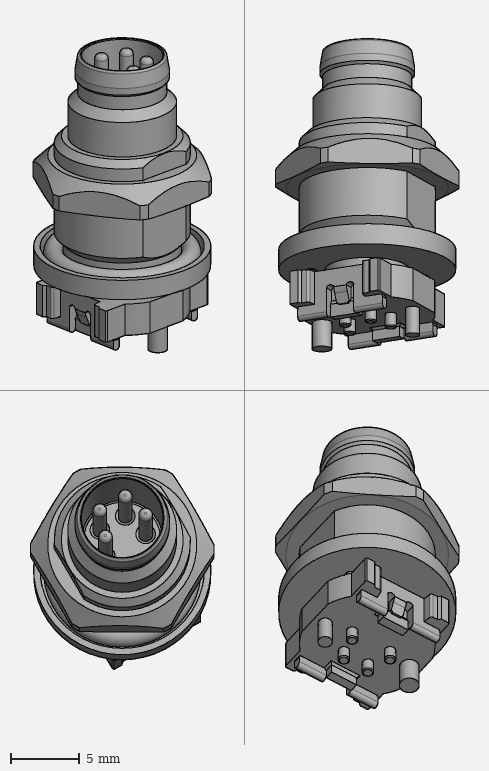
import cadquery as cq
import math


total_height = 22.3
carrier_bottom_z = 2.03
carrier_top_z = 4.53
flange_bottom_z = 5.53
flange_top_z = 7.07
thread_bottom_z = 7.54
nut_bottom_z = 11.85
nut_top_z = 14.3
thread_top_z = 15.83
shoulder_bottom_z = 18.58
socket_floor_z = thread_top_z

flange_radius = 13.0 / 2
thread_radius = 5.0
thread_flat_distance = 4.48
thread_top_radius = 4.45
thread_top_chamfer = thread_radius - thread_top_radius
undercut_radius = 4.35
thread_bottom_chamfer = thread_radius - undercut_radius
barrel_radius = 4.0
neck_radius = 3.28
shoulder_top_z = shoulder_bottom_z + barrel_radius - neck_radius
lip_radius = 3.48
lip_bottom_z = 20.34
lip_undercut = lip_radius - neck_radius
lip_height = 0.54
rim_radius = 3.3
rim_round = 0.15
bore_radius = 2.99
bore_chamfer = 0.07
seal_groove_radius = 6.02

ring_wire_radius = 0.71
ring_center_radius = undercut_radius + ring_wire_radius
ring_top_z = 7.27
ring_center_z = ring_top_z - ring_wire_radius
seal_groove_floor_z = ring_center_z - ring_wire_radius

nut_across_flats = 12.0
nut_corner_radius = 13.5 / 2
nut_top_radius = 5.46
nut_top_chamfer_height = 1.23
nut_bottom_radius = 5.95
nut_bottom_chamfer_height = 0.1

insert_neck_radius = 3.1
plug_chamfer = 0.18
carrier_radius = 4.97
carrier_half_width = 4.68
wing_half_width = 3.72
wing_reach = 5.22
wing_corner_width = 0.07
wing_corner_depth = 0.15
wing_step = 0.2
wing_step_x = 2.99
wing_inner_x = 2.19
wing_root_x = 2.1
face_y = 4.28

rail_half_length = 3.52
rail_thickness = 0.62
rail_bottom_z = 1.0
rail_end_chamfer = 0.07
rail_end_chamfer_height = 0.2
pad_bottom_z = 1.07
pad_inner_y = 2.97
pad_root_flare = 0.18
window_half_width = 1.12
window_arch_z = 3.35
window_arch_rise = 0.2
window_back_y = face_y - rail_thickness
ledge_bottom_z = 2.05
ledge_depth = 0.13
ledge_height = 0.3
latch_half_width = 1.05 / 2
latch_top_z = 3.3
latch_bend_z = 2.7
latch_bend_depth = 0.18
latch_tip_z = 1.92
latch_tip_overhang = 0.13
latch_tip_chamfer = 0.15

peg_spacing = 7.52
peg_x = peg_spacing / 2
thin_peg_radius = 1.05 / 2
thick_peg_radius = 1.45 / 2
stud_places = [(-3.28, -2.59), (3.28, 2.59)]
stud_radius = 0.45
stud_top_z = 5.3
stud_chamfer = 0.13
contact_places = [(-1.07, 1.45), (1.07, 1.45), (-1.7, -0.5), (1.7, -0.5)]
contact_radius = 1.0 / 2
contact_top_z = 22.0
contact_tip_flat_radius = 0.1
countersink_radius = 0.71
countersink_depth = countersink_radius - contact_radius
tail_radius = 0.42
tail_bottom_z = 0.98
tail_chamfer = 0.1


def cylinder(radius, bottom, top, x=0.0, y=0.0):
    """Upright cylinder between two heights."""
    return cq.Workplane("XY").workplane(offset=bottom).center(x, y).circle(radius).extrude(top - bottom)


def box(x_min, x_max, y_min, y_max, z_min, z_max):
    """Axis-aligned box between its limits."""
    size = (x_max - x_min, y_max - y_min, z_max - z_min)
    return cq.Workplane("XY").box(*size, centered=False).translate((x_min, y_min, z_min))


def revolve_about_z(profile):
    """Turn a closed (radius, height) outline on the XZ plane around the Z axis."""
    return profile.close().revolve(360, (0, 0), (0, 1))


def make_housing():
    """Turned shell with a grooved flange, a flatted thread section and a snap-in lip."""
    lip_straight_z = lip_bottom_z + lip_undercut
    rim_flat_radius = rim_radius - rim_round
    round_middle = rim_round * (1 - math.sqrt(0.5))
    shell = revolve_about_z(
        cq.Workplane("XZ")
        .moveTo(bore_radius, flange_bottom_z)
        .lineTo(flange_radius, flange_bottom_z)
        .lineTo(flange_radius, flange_top_z)
        .lineTo(seal_groove_radius, flange_top_z)
        .lineTo(seal_groove_radius, seal_groove_floor_z)
        .lineTo(undercut_radius, seal_groove_floor_z)
        .lineTo(undercut_radius, thread_bottom_z)
        .lineTo(thread_radius, thread_bottom_z + thread_bottom_chamfer)
        .lineTo(thread_radius, thread_top_z - thread_top_chamfer)
        .lineTo(thread_top_radius, thread_top_z)
        .lineTo(barrel_radius, thread_top_z)
        .lineTo(barrel_radius, shoulder_bottom_z)
        .lineTo(neck_radius, shoulder_top_z)
        .lineTo(neck_radius, lip_bottom_z)
        .lineTo(lip_radius, lip_straight_z)
        .lineTo(lip_radius, lip_straight_z + lip_height)
        .lineTo(rim_radius, total_height - rim_round)
        .threePointArc((rim_radius - round_middle, total_height - round_middle),
                       (rim_flat_radius, total_height))
        .lineTo(bore_radius + bore_chamfer, total_height)
        .lineTo(bore_radius, total_height - bore_chamfer)
    )
    flat_cutter = box(thread_flat_distance, thread_radius, -thread_radius, thread_radius,
                      thread_bottom_z, thread_top_z)
    return shell.cut(flat_cutter).cut(flat_cutter.mirror("YZ"))


def make_nut():
    """Hexagon with a pair of flats facing X, turned conical at both ends, with a bore that fits the
    flatted thread."""
    hexagon = (
        cq.Workplane("XY").workplane(offset=nut_bottom_z)
        .polygon(6, nut_across_flats / math.cos(math.pi / 6))
        .extrude(nut_top_z - nut_bottom_z)
        .rotate((0, 0, 0), (0, 0, 1), 30)
    )
    turned_blank = revolve_about_z(
        cq.Workplane("XZ")
        .moveTo(0, nut_bottom_z)
        .lineTo(nut_bottom_radius, nut_bottom_z)
        .lineTo(nut_corner_radius, nut_bottom_z + nut_bottom_chamfer_height)
        .lineTo(nut_corner_radius, nut_top_z - nut_top_chamfer_height)
        .lineTo(nut_top_radius, nut_top_z)
        .lineTo(0, nut_top_z)
    )
    flatted_bore = cylinder(thread_radius, nut_bottom_z, nut_top_z).intersect(
        box(-thread_flat_distance, thread_flat_distance, -thread_radius, thread_radius,
            nut_bottom_z, nut_top_z)
    )
    return hexagon.intersect(turned_blank).cut(flatted_bore)


def make_sealing_ring():
    """Round-wire ring that sits in the flange groove, against the housing undercut."""
    return (
        cq.Workplane("XZ").center(ring_center_radius, ring_center_z)
        .circle(ring_wire_radius)
        .revolve(360, (-ring_center_radius, 0), (-ring_center_radius, 1))
    )


def make_wing():
    """Stepped corner block of the carrier at -X, -Y."""
    outer_y = -wing_reach
    middle_y = outer_y + wing_step
    inner_y = middle_y + wing_step
    middle_x = wing_step_x - wing_step
    step_middle = wing_step * (1 - math.sqrt(0.5))
    height = carrier_top_z - carrier_bottom_z
    return (
        cq.Workplane("XY").workplane(offset=carrier_bottom_z)
        .moveTo(-wing_half_width, 0)
        .lineTo(-wing_half_width, outer_y + wing_corner_depth)
        .lineTo(-wing_half_width + wing_corner_width, outer_y)
        .lineTo(-wing_step_x, outer_y)
        .lineTo(-middle_x, middle_y)
        .lineTo(-wing_inner_x - wing_step, middle_y)
        .threePointArc((-wing_inner_x - step_middle, middle_y + step_middle), (-wing_inner_x, inner_y))
        .lineTo(-wing_root_x, -face_y)
        .lineTo(0, -face_y)
        .lineTo(0, 0)
        .close()
        .extrude(height)
    )


def make_carrier_block():
    """Disc with flats at both X ends and a wing at each of its four corners."""
    disc = cylinder(carrier_radius, carrier_bottom_z, carrier_top_z).intersect(
        box(-carrier_half_width, carrier_half_width, -face_y, face_y, carrier_bottom_z, carrier_top_z)
    )
    wing = make_wing()
    front_pair = wing.union(wing.mirror("YZ"))
    return disc.union(front_pair).union(front_pair.mirror("XZ"))


def make_rail():
    """Foot rail at -Y with a full-round lower edge, chamfered ends and a pad with a flared root behind it."""
    round_radius = rail_thickness / 2
    profile = (
        cq.Workplane("YZ").workplane(offset=-rail_half_length)
        .moveTo(-face_y, carrier_bottom_z)
        .lineTo(-face_y, rail_bottom_z + round_radius)
        .threePointArc((-face_y + round_radius, rail_bottom_z),
                       (-face_y + rail_thickness, rail_bottom_z + round_radius))
        .lineTo(-face_y + rail_thickness, carrier_bottom_z)
        .close()
        .extrude(2 * rail_half_length)
    )
    end_shape = (
        cq.Workplane("XZ")
        .moveTo(-rail_half_length, 0)
        .lineTo(-rail_half_length, carrier_bottom_z - rail_end_chamfer_height)
        .lineTo(-rail_half_length + rail_end_chamfer, carrier_bottom_z)
        .lineTo(rail_half_length - rail_end_chamfer, carrier_bottom_z)
        .lineTo(rail_half_length, carrier_bottom_z - rail_end_chamfer_height)
        .lineTo(rail_half_length, 0)
        .close()
        .extrude(wing_reach)
    )
    pad = box(-window_half_width, window_half_width, -window_back_y, -pad_inner_y,
              pad_bottom_z, carrier_bottom_z)
    pad_flare = (
        cq.Workplane("XY").workplane(offset=carrier_bottom_z)
        .center(0, -(window_back_y + pad_inner_y) / 2)
        .rect(2 * (window_half_width + pad_root_flare),
              window_back_y - pad_inner_y + 2 * pad_root_flare)
        .extrude(-pad_root_flare, taper=45)
    )
    pad = pad.union(pad_flare)
    return profile.intersect(end_shape).union(pad)


def make_window_cutter():
    """Latch window at -Y: a straight opening with two arched slots and a deeper upper back wall."""
    slot_width = window_half_width - latch_half_width
    slot_center = latch_half_width + slot_width / 2
    arch_start_z = window_arch_z - window_arch_rise
    outline = (
        cq.Workplane("XZ", origin=(0, -window_back_y + ledge_depth, 0))
        .moveTo(-window_half_width, 0)
        .lineTo(-window_half_width, arch_start_z)
        .threePointArc((-slot_center, window_arch_z), (-latch_half_width, arch_start_z))
        .lineTo(latch_half_width, arch_start_z)
        .threePointArc((slot_center, window_arch_z), (window_half_width, arch_start_z))
        .lineTo(window_half_width, 0)
        .close()
        .extrude(rail_thickness + ledge_depth)
    )
    ledge = (
        cq.Workplane("YZ").workplane(offset=-window_half_width)
        .moveTo(-window_back_y, 0)
        .lineTo(-window_back_y, ledge_bottom_z)
        .lineTo(-window_back_y + ledge_depth, ledge_bottom_z + ledge_height)
        .lineTo(-window_back_y + ledge_depth, 0)
        .close()
        .extrude(2 * window_half_width)
    )
    return outline.cut(ledge)


def make_latch():
    """Wedge-shaped latch tongue at -Y, bent inward and tapering toward the window's back wall."""
    bend_y = -face_y + latch_bend_depth
    root_y = -window_back_y + ledge_depth
    tongue = (
        cq.Workplane("YZ").workplane(offset=-latch_half_width)
        .moveTo(root_y, latch_top_z)
        .lineTo(-face_y, latch_top_z)
        .threePointArc((-face_y + latch_bend_depth / 4, (latch_top_z + latch_bend_z) / 2),
                       (bend_y, latch_bend_z))
        .lineTo(-window_back_y - latch_tip_overhang, latch_tip_z)
        .lineTo(root_y, latch_tip_z)
        .close()
        .extrude(2 * latch_half_width)
    )
    tip_shape = (
        cq.Workplane("XZ")
        .rect(2 * latch_half_width, 2 * (latch_top_z - latch_tip_z))
        .extrude(wing_reach)
        .edges("|Y and <Z")
        .chamfer(latch_tip_chamfer)
        .translate((0, 0, latch_top_z))
    )
    return tongue.intersect(tip_shape)


def make_contact(x, y):
    """Contact pin with a domed tip above and a chamfered solder tail below."""
    dome_base_z = contact_top_z - contact_radius
    pin = cylinder(contact_radius, carrier_bottom_z, contact_top_z, x, y)
    pin = pin.faces(">Z").edges().fillet(contact_radius - contact_tip_flat_radius)
    tail = cylinder(tail_radius, tail_bottom_z, dome_base_z, x, y).faces("<Z").chamfer(tail_chamfer)
    return pin.union(tail)


def make_countersink(x, y):
    """Conical recess around a contact in the socket floor."""
    return (
        cq.Workplane("XY").workplane(offset=socket_floor_z).center(x, y)
        .circle(countersink_radius)
        .extrude(-countersink_depth, taper=45)
    )


def make_insert():
    """Contact carrier: plug in the housing bore, carrier block, rails, latches, pegs and contacts."""
    insert = make_carrier_block()
    insert = insert.union(cylinder(insert_neck_radius, carrier_top_z, flange_bottom_z))
    plug = cylinder(bore_radius, carrier_top_z, socket_floor_z).faces(">Z").chamfer(plug_chamfer)
    insert = insert.union(plug)

    rail = make_rail()
    window = make_window_cutter()
    latch = make_latch()
    insert = insert.union(rail).union(rail.mirror("XZ"))
    insert = insert.cut(window).cut(window.mirror("XZ"))
    insert = insert.union(latch).union(latch.mirror("XZ"))

    insert = insert.union(cylinder(thin_peg_radius, 0, carrier_top_z, -peg_x))
    insert = insert.union(cylinder(thick_peg_radius, 0, carrier_top_z, peg_x))
    for x, y in stud_places:
        stud = cylinder(stud_radius, carrier_bottom_z, stud_top_z, x, y)
        insert = insert.union(stud.faces(">Z").chamfer(stud_chamfer))

    for x, y in contact_places:
        insert = insert.cut(make_countersink(x, y))
        insert = insert.union(make_contact(x, y))
    return insert


housing = make_housing()
nut = make_nut()
sealing_ring = make_sealing_ring()
insert = make_insert()

result = cq.Compound.makeCompound([housing.val(), nut.val(), sealing_ring.val(), insert.val()])